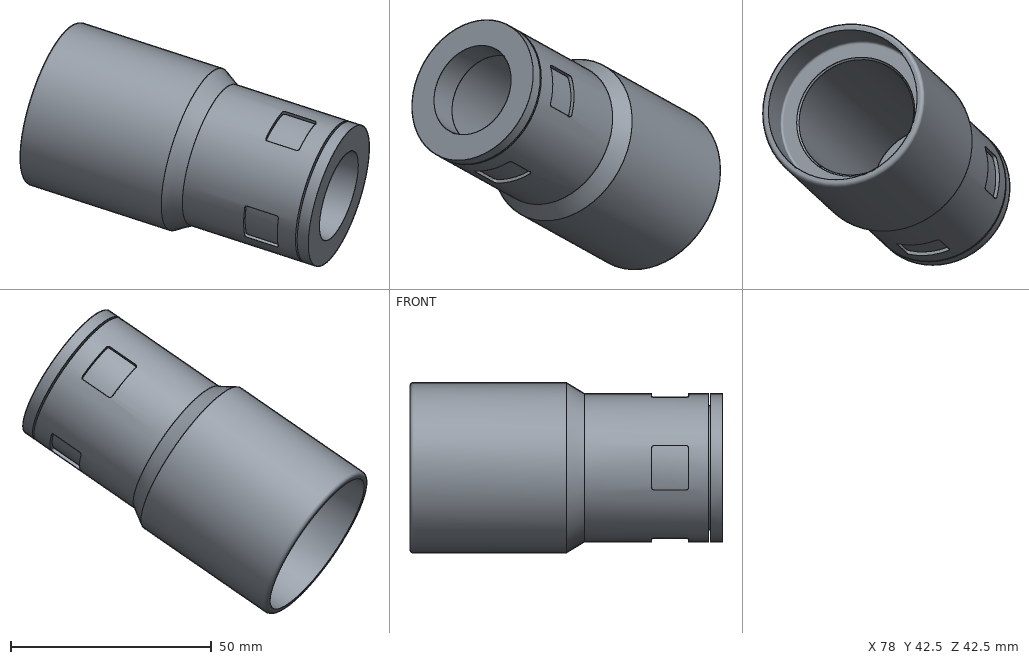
import cadquery as cq

length = 78.0
head_diameter = 42.5
head_length = 39.0
neck_diameter = 37.0
neck_start = 43.5
mouth_fillet = 0.9

socket_diameter = 39.0
socket_depth = 10.45
socket_floor_fillet = 0.585
middle_diameter = 30.0
middle_end = 70.2
middle_chamfer = 0.5
outlet_diameter = 23.5

groove_start = 74.5
groove_width = 0.5
groove_floor_diameter = 31.0

pocket_count = 4
pocket_start = 60.3
pocket_length = 9.2
pocket_width = 11.15
pocket_depth = 0.9
pocket_corner_radius = 0.7


def cylinder(diameter, start, end):
    """Solid cylinder on the X axis between two X positions."""
    return cq.Workplane("YZ", origin=(start, 0, 0)).circle(diameter / 2).extrude(end - start)


def outer_body():
    """Head, conical shoulder and neck, with a rounded mouth edge."""
    profile = [
        (0, 0),
        (0, head_diameter / 2),
        (head_length, head_diameter / 2),
        (neck_start, neck_diameter / 2),
        (length, neck_diameter / 2),
        (length, 0),
    ]
    body = cq.Workplane("XY").polyline(profile).close().revolve(360, (0, 0, 0), (1, 0, 0))
    return body.faces("<X").edges().fillet(mouth_fillet)


def stepped_bore():
    """Socket, middle bore with a chamfered entry, and outlet hole."""
    socket = cylinder(socket_diameter, 0, socket_depth)
    socket = socket.faces(">X").edges().fillet(socket_floor_fillet)
    middle = cylinder(middle_diameter, socket_depth, middle_end)
    entry_diameter = middle_diameter + 2 * middle_chamfer
    entry = (
        cq.Workplane("YZ", origin=(socket_depth, 0, 0))
        .circle(entry_diameter / 2)
        .workplane(offset=middle_chamfer)
        .circle(middle_diameter / 2)
        .loft(ruled=True)
    )
    outlet = cylinder(outlet_diameter, middle_end, length)
    return socket.union(entry).union(middle).union(outlet)


def retaining_groove():
    """Ring that cuts the narrow groove around the neck."""
    groove_end = groove_start + groove_width
    ring = cylinder(head_diameter, groove_start, groove_end)
    return ring.cut(cylinder(groove_floor_diameter, groove_start, groove_end))


def neck_pocket():
    """Rounded rectangular cutter on +Z whose floor follows the neck."""
    block = (
        cq.Workplane("XY")
        .center(pocket_start + pocket_length / 2, 0)
        .rect(pocket_length, pocket_width)
        .extrude(head_diameter / 2)
        .edges("|Z")
        .fillet(pocket_corner_radius)
    )
    return block.cut(cylinder(neck_diameter - 2 * pocket_depth, 0, length))


result = outer_body().cut(stepped_bore()).cut(retaining_groove())
for index in range(pocket_count):
    angle = index * 360 / pocket_count
    result = result.cut(neck_pocket().rotate((0, 0, 0), (1, 0, 0), angle))